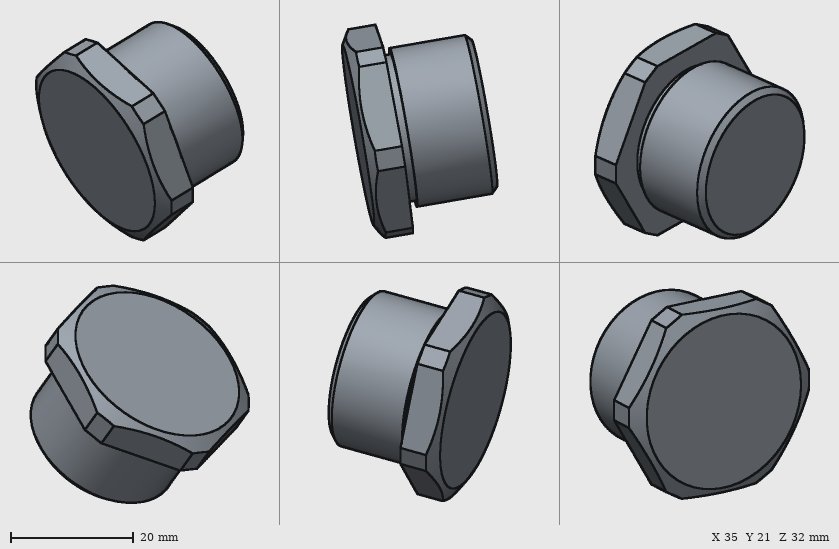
import cadquery as cq
import math

across_flats = 32.0
across_corners = 34.95
head_thickness = 6.0
face_diameter = 30.0
bevel_angle = 30.0

total_length = 21.0
shank_diameter = 26.42
relief_diameter = 24.4
relief_width = 1.5
end_chamfer = 1.0


def hexagon_prism(flat_distance, depth, turn):
    """Hexagonal prism from Y = 0 to Y = depth, turned by an angle in degrees about Y."""
    corner_diameter = flat_distance / math.cos(math.radians(30))
    prism = cq.Workplane("XZ").polygon(6, corner_diameter).extrude(-depth)
    return prism.rotate((0, 0, 0), (0, 1, 0), turn)


def bevel_envelope():
    """Turned blank whose cone bevels the front edges of the head."""
    face_radius = face_diameter / 2
    blank_radius = across_corners
    cone_depth = (blank_radius - face_radius) * math.tan(math.radians(bevel_angle))
    back = head_thickness + cone_depth
    return (
        cq.Workplane("XY")
        .moveTo(0, 0)
        .lineTo(face_radius, 0)
        .lineTo(blank_radius, cone_depth)
        .lineTo(blank_radius, back)
        .lineTo(0, back)
        .close()
        .revolve(360, (0, 0, 0), (0, 1, 0))
    )


def make_head():
    """Hexagon with its corners cut flat and its front edge bevelled."""
    main_hexagon = hexagon_prism(across_flats, head_thickness, 0)
    corner_cuts = hexagon_prism(across_corners, head_thickness, 30)
    return main_hexagon.intersect(corner_cuts).intersect(bevel_envelope())


def make_shank():
    """Relief groove behind the head, then the shank with a chamfered end."""
    relief = (
        cq.Workplane("XZ", origin=(0, head_thickness, 0))
        .circle(relief_diameter / 2)
        .extrude(-relief_width)
    )
    shank_start = head_thickness + relief_width
    shank = (
        cq.Workplane("XZ", origin=(0, shank_start, 0))
        .circle(shank_diameter / 2)
        .extrude(-(total_length - shank_start))
        .faces(">Y")
        .chamfer(end_chamfer)
    )
    return relief.union(shank)


result = make_head().union(make_shank())